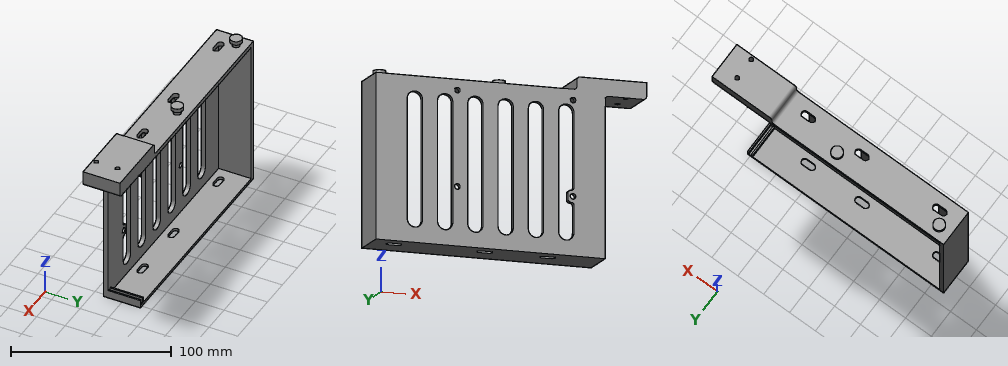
import cadquery as cq

total_length = 179
depth = 26.0
total_height = 115.0

body_length = 151.6
body_height = 106.7
wall = 3.0
floor_thickness = 2.0

rail_top = 5.7
rail_thickness = 1.0
groove_width = 2.0

arm_start = 132.8
arm_thickness = 11.0
arm_bottom = total_height - arm_thickness
bend_radius = 2.1

vent_count = 6
vent_width = 10.0
vent_length = 87.0
first_vent_x = 25.8
last_vent_x = 125.8
vent_pitch = (last_vent_x - first_vent_x) / (vent_count - 1)
vent_center_z = body_height / 2

mount_hole_diameter = 3.5
mount_hole_xs = (53.9, 130.3)
mount_hole_zs = (38.1, 99.7)

ear_width = 4.0
ear_height = 7.9
ear_corner_radius = 2.1
ear_blend_radius = 1.6

adjust_slot_length = 10.0
adjust_slot_width = 4.5
adjust_slot_xs = (15.2, 75.4, 116.9)
adjust_slot_y = 9.3

pin_xs = (9.0, 87.9)
pin_y = 18.5
pin_shaft_diameter = 5.0
pin_head_diameter = 8.0
pin_shaft_height = 3.0
pin_head_height = 2.7

arm_hole_diameter = 2.9
arm_hole_x = 166.0
arm_hole_ys = (2.5, 17.4)


def front_prism(sketch, thickness):
    """Extrude an outline drawn on the front face toward the back."""
    return sketch.extrude(-thickness)


def make_body():
    """Solid side profile: box body with the stepped arm, bends rounded."""
    outline = (
        cq.Workplane("XZ")
        .moveTo(0, 0)
        .lineTo(body_length, 0)
        .lineTo(body_length, arm_bottom)
        .lineTo(total_length, arm_bottom)
        .lineTo(total_length, total_height)
        .lineTo(arm_start, total_height)
        .lineTo(arm_start, body_height)
        .lineTo(0, body_height)
        .close()
    )
    bends = (
        (body_length, arm_bottom),
        (total_length, arm_bottom),
        (arm_start, total_height),
        (arm_start, body_height),
    )
    body = front_prism(outline, depth)
    for x, z in bends:
        edge = cq.selectors.NearestToPointSelector((x, depth / 2, z))
        body = body.edges("|Y").edges(edge).fillet(bend_radius)
    return body


def make_cavity():
    """Space between front plate, left wall, floor and top; open to the back and to +X."""
    return cq.Workplane("XY").box(
        body_length - wall,
        depth - wall,
        body_height - wall - floor_thickness,
        centered=False,
    ).translate((wall, wall, floor_thickness))


def make_rails():
    """Rails that run from the front plate to the back, the outer one flush with the end."""
    outer_x = body_length - rail_thickness
    inner_x = outer_x - groove_width - rail_thickness
    rail = cq.Workplane("XY").box(rail_thickness, depth, rail_top, centered=False)
    return rail.translate((outer_x, 0, 0)).union(rail.translate((inner_x, 0, 0)))


def make_vents():
    """Row of vertical slots; the last one leaves room for the ear."""
    centers = [(first_vent_x + i * vent_pitch, vent_center_z) for i in range(vent_count)]
    vents = front_prism(
        cq.Workplane("XZ").pushPoints(centers).slot2D(vent_length, vent_width, 90), wall
    )
    return cut_ear(vents)


def cut_ear(vents):
    """Take the ear out of the last vent, with rounded corners and blended roots."""
    root_x = last_vent_x + vent_width / 2
    tip_x = root_x - ear_width
    ear_z = mount_hole_zs[0]
    ear = front_prism(
        cq.Workplane("XZ").center(root_x, ear_z).rect(2 * ear_width, ear_height), wall
    )
    vents = vents.cut(ear)
    for x, radius in ((tip_x, ear_corner_radius), (root_x, ear_blend_radius)):
        for z in (ear_z - ear_height / 2, ear_z + ear_height / 2):
            edge = cq.selectors.NearestToPointSelector((x, wall / 2, z))
            vents = vents.edges("|Y").edges(edge).fillet(radius)
    return vents


def make_mount_holes():
    centers = [(x, z) for x in mount_hole_xs for z in mount_hole_zs]
    return front_prism(cq.Workplane("XZ").pushPoints(centers).circle(mount_hole_diameter / 2), wall)


def make_adjust_slots():
    centers = [(x, adjust_slot_y) for x in adjust_slot_xs]
    return (
        cq.Workplane("XY")
        .pushPoints(centers)
        .slot2D(adjust_slot_length, adjust_slot_width)
        .extrude(body_height)
    )


def make_arm_holes():
    centers = [(arm_hole_x, y) for y in arm_hole_ys]
    return (
        cq.Workplane("XY")
        .workplane(offset=arm_bottom)
        .pushPoints(centers)
        .circle(arm_hole_diameter / 2)
        .extrude(arm_thickness)
    )


def make_pins():
    centers = [(x, pin_y) for x in pin_xs]
    top = cq.Workplane("XY").workplane(offset=body_height)
    shafts = top.pushPoints(centers).circle(pin_shaft_diameter / 2).extrude(pin_shaft_height)
    heads = (
        top.workplane(offset=pin_shaft_height)
        .pushPoints(centers)
        .circle(pin_head_diameter / 2)
        .extrude(pin_head_height)
    )
    return shafts.union(heads)


result = (
    make_body()
    .cut(make_cavity())
    .union(make_rails())
    .cut(make_vents())
    .cut(make_mount_holes())
    .cut(make_adjust_slots())
    .cut(make_arm_holes())
    .union(make_pins())
)